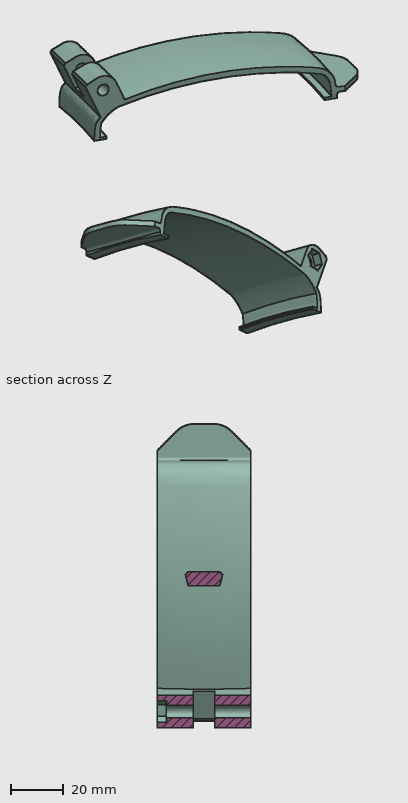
import cadquery as cq
import math

width = 35.6
half_width = width / 2
crown_rise = 0.76
crown_radius = (half_width**2 + crown_rise**2) / (2 * crown_rise)

rear_hook_bottom = 1.4
hook_thickness = 1.0
rear_wall_outer = 44.9
rear_wall_inner = 42.7
rear_hook_tip = 39.5
front_wall_outer = -54.7
front_wall_inner = -52.4
front_hook_tip = -49.7
hook_chamfer = 0.3

tab_end = 58.3
tab_root = 43.8
tab_bottom = 3.8
tab_thickness = 2.1
tab_corner_cut = 10.1
tab_corner_radius = 9.3
tab_root_fillet = 1.2
tab_top_fillet_start = 45.9
tab_top_fillet_radius = 1.5

hinge_y = -51.1
hinge_z = 20.5
lug_tilt = 24.5
lug_radius = 5.8
lug_front = 5.6
lug_chamfer_width = 0.9
lug_chamfer_height = 0.7
lug_front_depth = 9.8
lug_middle_depth = 15.2
lug_rear_depth = 9.3
slot_width = 8.0
slot_floor = 5.8
pin_diameter = 4.5
nut_corners = 8.5
nut_depth = 3.5
nut_turn = 7.0

rear_inner_top = rear_hook_bottom + hook_thickness
inner_rear_start = (42.1, 7.3)
inner_rear_mid = (40.6, 10.7)
inner_rear_end = (38.0, 12.6)
inner_peak = (-3.5, 17.5)
inner_front_start = (-44.9, 12.5)
inner_front_mid = (-48.6, 10.3)
inner_front_end = (-51.8, 7.0)
inner_front_foot = (front_wall_inner, 3.5)

outer_front_foot = (front_wall_outer, hook_thickness)
outer_front_low = (-54.5, 4.9)
outer_front_high = (-53.6, 7.7)
outer_front_end = (-52.2, 9.3)
outer_front_mid = (-48.5, 12.8)
outer_front_start = (-42.9, 14.9)
outer_peak = (-3.5, 19.9)
outer_rear_end = (35.3, 15.6)
outer_rear_mid = (41.2, 13.2)
outer_rear_low = (43.5, 10.3)
outer_rear_foot = (44.3, 7.0)


def crowned(profile):
    """Revolve a YZ profile about a low axis along Y and trim it to the width."""
    axis_z = crown_rise - crown_radius
    sweep = 2 * math.degrees(math.asin(half_width / crown_radius)) + 2
    raised = profile.translate((0, 0, crown_rise))
    axis_start = cq.Vector(0, 0, axis_z)
    axis_end = cq.Vector(0, 1.2, axis_z)
    solid = cq.Solid.revolve(raised, [], sweep, axis_start, axis_end)
    solid = solid.rotate(axis_start, axis_end, -sweep / 2)
    trim = cq.Workplane("XY").box(width, 4 * tab_end, 4 * tab_end)
    return cq.Workplane(obj=solid).intersect(trim)


def add_inner_curve(sketch):
    """Continue an outline along the underside of the strap, rear to front."""
    return (
        sketch.lineTo(*inner_rear_start)
        .threePointArc(inner_rear_mid, inner_rear_end)
        .threePointArc(inner_peak, inner_front_start)
        .threePointArc(inner_front_mid, inner_front_end)
        .lineTo(*inner_front_foot)
        .lineTo(front_wall_inner, hook_thickness)
    )


def make_strap():
    rear_run = outer_rear_end[0] - outer_peak[0]
    rear_drop = outer_peak[1] - outer_rear_end[1]
    rear_angle = 2 * math.atan2(rear_drop, rear_run)
    rear_slope = (math.cos(rear_angle), -math.sin(rear_angle))
    sketch = (
        cq.Workplane("YZ")
        .moveTo(rear_wall_outer, rear_hook_bottom)
        .lineTo(rear_hook_tip + hook_chamfer, rear_hook_bottom)
        .lineTo(rear_hook_tip, rear_hook_bottom + hook_chamfer)
        .lineTo(rear_hook_tip, rear_inner_top)
        .lineTo(rear_wall_inner, rear_inner_top)
    )
    sketch = (
        add_inner_curve(sketch)
        .lineTo(front_hook_tip, hook_thickness)
        .lineTo(front_hook_tip, hook_chamfer)
        .lineTo(front_hook_tip - hook_chamfer, 0)
        .lineTo(front_wall_outer, 0)
        .lineTo(*outer_front_foot)
        .spline(
            [outer_front_low, outer_front_high, outer_front_end],
            tangents=[(0, 1), (1, 1)],
            includeCurrent=True,
        )
        .threePointArc(outer_front_mid, outer_front_start)
        .threePointArc(outer_peak, outer_rear_end)
        .spline(
            [outer_rear_mid, outer_rear_low, outer_rear_foot],
            tangents=[rear_slope, (0.2, -1)],
            includeCurrent=True,
        )
        .close()
    )
    return crowned(sketch.val())


def make_cavity():
    """Space enclosed under the strap, which the lugs must not enter."""
    sketch = cq.Workplane("YZ").moveTo(rear_wall_inner, rear_inner_top)
    return crowned(add_inner_curve(sketch).close().val())


def make_tab():
    """Flat tab with fillets above and below its root, rounded in plan."""
    tab_top = tab_bottom + tab_thickness
    wall_y, fillet_top = outer_rear_foot
    fillet_bottom = tab_bottom - tab_root_fillet
    section = (
        cq.Workplane("YZ", origin=(-half_width, 0, 0))
        .moveTo(tab_root, fillet_bottom)
        .lineTo(rear_wall_outer, fillet_bottom)
        .radiusArc((rear_wall_outer + tab_root_fillet, tab_bottom), tab_root_fillet)
        .lineTo(tab_end, tab_bottom)
        .lineTo(tab_end, tab_top)
        .lineTo(tab_top_fillet_start, tab_top)
        .radiusArc((wall_y, fillet_top), tab_top_fillet_radius)
        .lineTo(tab_root, fillet_top)
        .close()
        .extrude(width)
    )
    shoulder_x = half_width - tab_corner_cut
    outline = (
        cq.Workplane("XY")
        .moveTo(-half_width, tab_root)
        .lineTo(half_width, tab_root)
        .lineTo(half_width, tab_end - tab_corner_cut)
        .lineTo(shoulder_x, tab_end)
        .lineTo(-shoulder_x, tab_end)
        .lineTo(-half_width, tab_end - tab_corner_cut)
        .close()
        .extrude(2 * fillet_top)
        .edges("|Z")
        .edges(">Y")
        .fillet(tab_corner_radius)
    )
    return section.intersect(outline)


tilt = math.radians(lug_tilt)
hinge_plane = cq.Plane(
    origin=(-half_width, hinge_y, hinge_z),
    xDir=(0, math.cos(tilt), math.sin(tilt)),
    normal=(1, 0, 0),
)


def make_lugs():
    block = (
        cq.Workplane(hinge_plane)
        .moveTo(lug_radius, 0)
        .threePointArc(
            (lug_radius * math.sqrt(0.5), lug_radius * math.sqrt(0.5)),
            (0, lug_radius),
        )
        .lineTo(lug_chamfer_width - lug_front, lug_radius)
        .lineTo(-lug_front, lug_radius - lug_chamfer_height)
        .lineTo(-lug_front, -lug_front_depth)
        .lineTo(0, -lug_middle_depth)
        .lineTo(lug_radius, -lug_rear_depth)
        .close()
        .extrude(width)
    )
    return block.cut(make_cavity())


def make_slot():
    slot_height = slot_floor + 2 * lug_radius
    return (
        cq.Workplane(hinge_plane)
        .workplane(offset=half_width - slot_width / 2)
        .center(0, slot_height / 2 - slot_floor)
        .rect(4 * lug_radius, slot_height)
        .extrude(slot_width)
    )


def make_pin_hole():
    return cq.Workplane(hinge_plane).circle(pin_diameter / 2).extrude(width)


def make_nut_pocket():
    return (
        cq.Workplane(hinge_plane)
        .transformed(rotate=(0, 0, nut_turn - lug_tilt))
        .polygon(6, nut_corners)
        .extrude(nut_depth)
    )


result = (
    make_strap()
    .union(make_tab())
    .union(make_lugs())
    .cut(make_slot())
    .cut(make_pin_hole())
    .cut(make_nut_pocket())
)